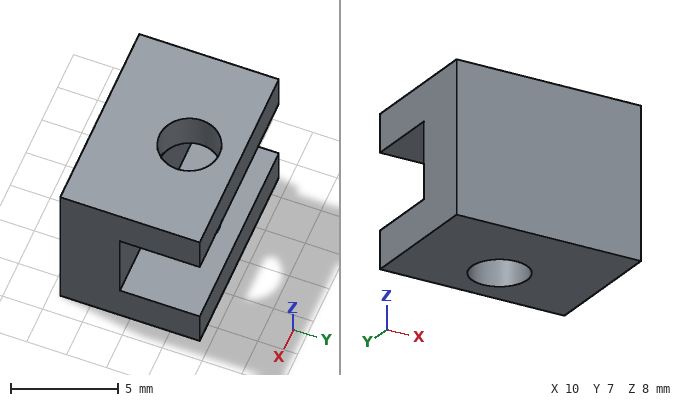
import cadquery as cq

length = 10.0
depth = 7.0
height = 8.0

slot_depth = 4.0
slot_height = 4.0

hole_diameter = 3.0
hole_from_back = 2.5

back_y = depth / 2

block = cq.Workplane("XY").box(length, depth, height)

slot = (
    cq.Workplane("XY")
    .box(length, slot_depth, slot_height)
    .translate((0, back_y - slot_depth / 2, 0))
)

hole = (
    cq.Workplane("XY")
    .center(0, back_y - hole_from_back)
    .circle(hole_diameter / 2)
    .extrude(height / 2, both=True)
)

result = block.cut(slot).cut(hole)